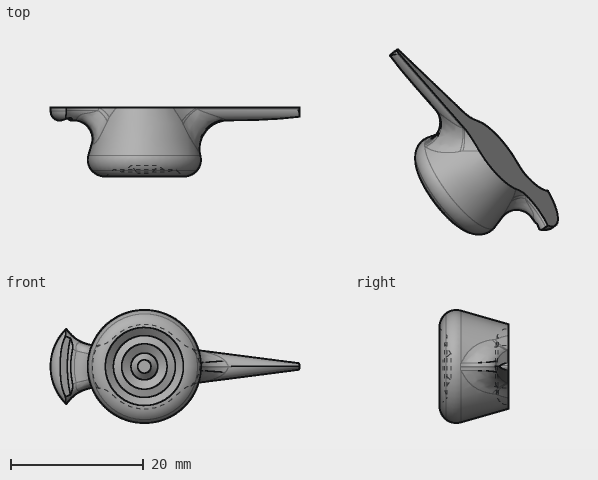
import cadquery as cq
import math


body_depth = 10.46
back_radius = 6.37
rim_side_radius = 2.45
rim_front_radius = 2.72
rim_split_angle = math.radians(50)
cone_tilt = math.radians(15.8)

recess_rings = [(5.88, 0.0), (4.66, 1.15), (3.42, 0.75), (2.02, 1.7), (1.0, 0.5)]

beak_tip_x = 23.37
beak_depth = 2.0
beak_edge_radius = 1.8
beak_half_width_at_axis = 3.5
beak_tip_half_width = 0.5
beak_tip_radius = 0.35
beak_blend_radius = 4.25

crest_tip_x = -14.15
crest_arc_radius = 7.93
crest_depth = 2.05
lip_radius = 1.5
lip_back_slope = math.tan(math.radians(18))
groove_back_x = -11.1
groove_arc_radius = 12.0
groove_ramp_slope = math.tan(math.radians(30))
neck_depth = 2.0
crest_inner_x = -3.0
crest_blend_radius = 2.75

flank_center_x = -7.2
flank_center_z = 8.6
flank_radius = 5.4
flank_edge_radius = 1.55

tolerance = 0.02


def revolve_about_y(profile, center_x=0.0, center_z=0.0):
    """Turn a closed (radius, Y) profile about an axis parallel to Y."""
    return profile.revolve(360, (0, 0, 0), (0, 1, 0)).translate((center_x, 0, center_z))


def point_at(center, radius, angle):
    """Point on a circle in the profile plane, with the angle measured from -Y towards +X."""
    return (center[0] + radius * math.sin(angle), center[1] - radius * math.cos(angle))


def make_body():
    front_center = (recess_rings[0][0], rim_front_radius - body_depth)
    center_step = rim_front_radius - rim_side_radius
    side_center = point_at(front_center, center_step, rim_split_angle)
    cone_angle = math.pi / 2 + cone_tilt
    side_middle = (cone_angle + rim_split_angle) / 2
    profile = (
        cq.Workplane("XY")
        .lineTo(back_radius, 0)
        .lineTo(*point_at(side_center, rim_side_radius, cone_angle))
        .threePointArc(
            point_at(side_center, rim_side_radius, side_middle),
            point_at(side_center, rim_side_radius, rim_split_angle),
        )
        .threePointArc(
            point_at(front_center, rim_front_radius, rim_split_angle / 2),
            point_at(front_center, rim_front_radius, 0),
        )
        .lineTo(0, -body_depth)
        .close()
    )
    return revolve_about_y(profile)


def make_recess():
    points = [(radius, depth - body_depth) for radius, depth in recess_rings]
    tip_y = points[-1][1]
    profile = cq.Workplane("XY").polyline([(0, -body_depth)] + points + [(0, tip_y)]).close()
    return revolve_about_y(profile)


def make_beak_side(side):
    """Plate bounded by one tapering side of the beak, with that side's front edge rounded."""
    slope = (beak_half_width_at_axis - beak_tip_half_width) / beak_tip_x
    side_angle = math.degrees(math.atan(slope))
    overlap = beak_half_width_at_axis * 2
    plate = (
        cq.Workplane("XY")
        .box(beak_tip_x + overlap, beak_depth, overlap, centered=False)
        .translate((0, -beak_depth, -overlap))
        .edges(">Z and <Y")
        .fillet(beak_edge_radius)
        .rotate((0, 0, 0), (0, 1, 0), side_angle)
        .translate((0, 0, beak_half_width_at_axis))
    )
    return plate if side > 0 else plate.mirror("XY")


def make_beak():
    width = 2 * beak_half_width_at_axis
    tip_width = 2 * beak_tip_half_width
    outline = (
        cq.Workplane("XZ")
        .polyline(
            [
                (0, -width / 2),
                (beak_tip_x, -tip_width / 2),
                (beak_tip_x, tip_width / 2),
                (0, width / 2),
            ]
        )
        .close()
        .extrude(beak_depth)
        .edges("|Y and >X")
        .fillet(beak_tip_radius)
    )
    return outline.intersect(make_beak_side(1)).intersect(make_beak_side(-1))


def make_flank_cutter(side):
    """Round cutter that flares at the front, leaving a rounded edge on the concave flank."""
    straight_y = -(neck_depth - flank_edge_radius)
    diagonal = flank_edge_radius * math.sqrt(0.5)
    flare_radius = flank_radius + flank_edge_radius
    profile = (
        cq.Workplane("XY")
        .lineTo(flank_radius, 0)
        .lineTo(flank_radius, straight_y)
        .threePointArc((flare_radius - diagonal, straight_y - diagonal), (flare_radius, -neck_depth))
        .lineTo(flare_radius, -2 * crest_depth)
        .lineTo(0, -2 * crest_depth)
        .close()
    )
    return revolve_about_y(profile, flank_center_x, side * flank_center_z)


def make_crest_disc():
    lip_x = crest_arc_radius - lip_radius
    lip_y = lip_radius - crest_depth
    diagonal = lip_radius * math.sqrt(0.5)
    profile = (
        cq.Workplane("XY")
        .lineTo(crest_arc_radius, 0)
        .lineTo(crest_arc_radius, lip_y)
        .threePointArc((lip_x + diagonal, lip_y - diagonal), (lip_x, -crest_depth))
        .lineTo(0, -crest_depth)
        .close()
    )
    return revolve_about_y(profile, crest_tip_x + crest_arc_radius)


def make_lip():
    """Prism along Z whose front slopes back from the lip ridge towards the body."""
    ridge_x = crest_tip_x + lip_radius
    slope_end_depth = crest_depth - (groove_back_x - ridge_x) * lip_back_slope
    return (
        cq.Workplane("XY")
        .moveTo(crest_tip_x, 0)
        .lineTo(crest_tip_x, -crest_depth)
        .lineTo(ridge_x, -crest_depth)
        .lineTo(groove_back_x, -slope_end_depth)
        .lineTo(groove_back_x, 0)
        .close()
        .extrude(crest_arc_radius, both=True)
    )


def make_neck():
    """Disc whose conical rim ramps down to the groove behind the lip."""
    profile = (
        cq.Workplane("XY")
        .lineTo(groove_arc_radius + neck_depth / groove_ramp_slope, 0)
        .lineTo(groove_arc_radius, -neck_depth)
        .lineTo(0, -neck_depth)
        .close()
    )
    return revolve_about_y(profile, groove_back_x + groove_arc_radius)


def make_crest():
    sector_block = (
        cq.Workplane("XY")
        .box(crest_inner_x - crest_tip_x, 2 * crest_depth, 2 * crest_arc_radius)
        .translate(((crest_inner_x + crest_tip_x) / 2, 0, 0))
    )
    crest = make_crest_disc().intersect(sector_block).intersect(make_neck().union(make_lip()))
    for side in (-1, 1):
        crest = crest.cut(make_flank_cutter(side))
    return crest


def is_on_cone(edge):
    """True when an edge lies on the cone in front of the back face."""
    for position in (0.0, 0.5, 1.0):
        point = edge.positionAt(position)
        cone_radius = back_radius - point.y * math.tan(cone_tilt)
        if abs(math.hypot(point.x, point.z) - cone_radius) > tolerance:
            return False
    return edge.Center().y < -tolerance


def blend_joint(solid, direction, radius):
    """Round the joint between the cone and the limb on the given side of the body."""
    joint_depth_limit = 1.5 * beak_depth
    joint = [
        edge
        for edge in solid.edges().vals()
        if is_on_cone(edge)
        and direction * edge.Center().x > back_radius / 2
        and edge.Center().y > -joint_depth_limit
    ]
    return solid.newObject(joint).fillet(radius)


body = make_body()
body = blend_joint(body.union(make_beak()), 1, beak_blend_radius)
body = blend_joint(body.union(make_crest()), -1, crest_blend_radius)
result = body.cut(make_recess())